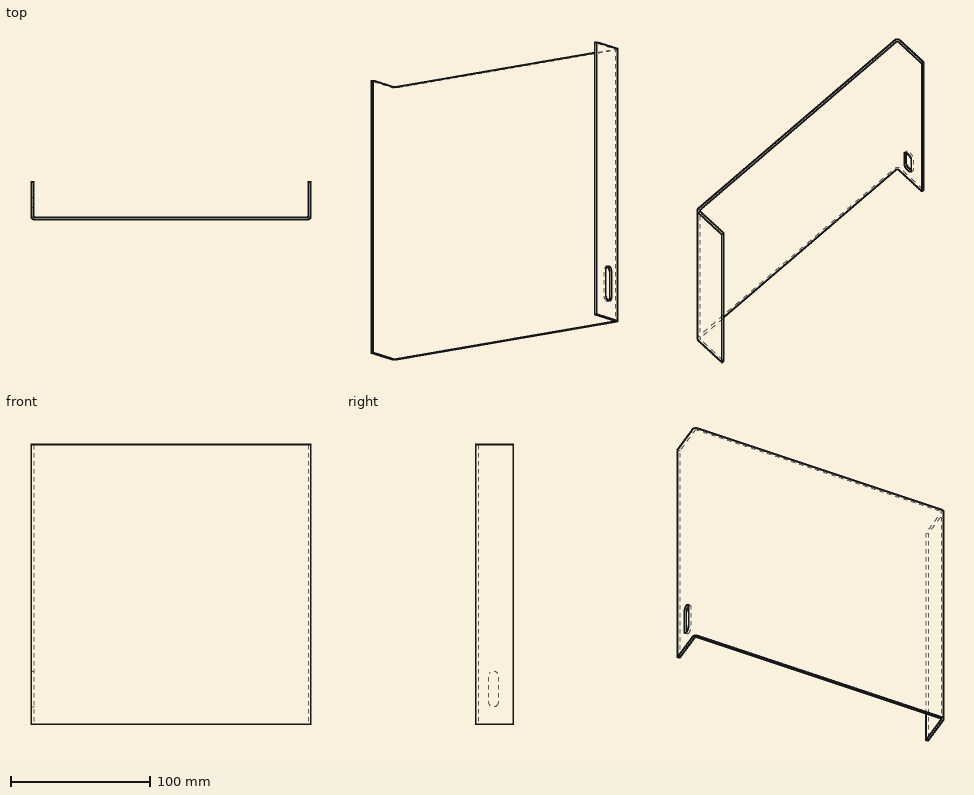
import cadquery as cq

width = 200.7
depth = 27.0
height = 200.7

thickness = 1.8
outer_bend_radius = 2.8
inner_bend_radius = outer_bend_radius - thickness

slot_length = 25.5
slot_width = 7.0
slot_center_height = 25.5
slot_from_free_edge = 14.5


def channel(size_x, size_y, bend_radius):
    """Upright block, its front face on y = 0, with rounded front vertical edges."""
    block = cq.Workplane("XY").box(size_x, size_y, height, centered=(True, False, False))
    return block.faces("<Y").edges("|Z").fillet(bend_radius)


def flange_slot():
    """Cutter for the slot, passing through the -X flange only."""
    return (
        cq.Workplane("YZ", origin=(-width / 2 - thickness, 0, 0))
        .center(depth - slot_from_free_edge, slot_center_height)
        .slot2D(slot_length, slot_width, 90)
        .extrude(3 * thickness)
    )


outside = channel(width, depth, outer_bend_radius)
inside = channel(width - 2 * thickness, depth - thickness, inner_bend_radius)
panel = outside.cut(inside.translate((0, thickness, 0)))

result = panel.cut(flange_slot())